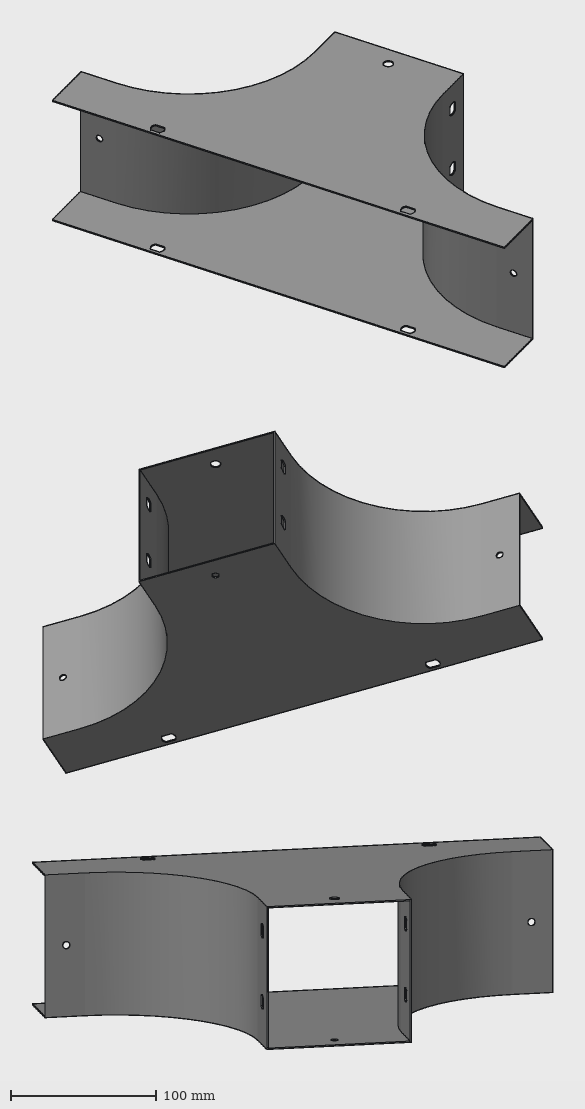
import cadquery as cq

length = 358.0
depth = 168.0
height = 101.0
sheet = 1.0

neck_width = 102.0
end_straight = 28.3
bend_radius = (length - neck_width) / 2 - end_straight
half_length = length / 2
half_neck = neck_width / 2
back = depth / 2
arm_back = back - end_straight - bend_radius

hole_diameter = 5.0
clearance_diameter = 7.0
end_distance = 15.0
slot_length = 10.0
slot_width = 7.0
front_slot_spacing = 198.5
front_slot_distance = 6.0
neck_slot_spacing = 50.0
neck_slot_rise = 5.0


def side_edge(plane, side):
    """Path along one side wall, from the arm end to the neck end."""
    bend_start = (side * (half_neck + bend_radius), arm_back)
    bend_end = (side * half_neck, back - end_straight)
    return (
        plane.moveTo(side * half_length, arm_back)
        .lineTo(*bend_start)
        .radiusArc(bend_end, side * bend_radius)
        .lineTo(side * half_neck, back)
    )


def side_region(side):
    """Block filling the corner outside one side wall, up to the bounding box."""
    edge = side_edge(cq.Workplane("XY").workplane(offset=-height / 2), side)
    return edge.lineTo(side * half_length, back).close().extrude(height)


def side_wall(side):
    """Sheet of constant thickness on the inner face of one side edge."""
    inner_neck = half_neck - sheet
    inner_arm = arm_back - sheet
    inner_radius = bend_radius + sheet
    edge = side_edge(cq.Workplane("XY").workplane(offset=-height / 2), side)
    return (
        edge.lineTo(side * inner_neck, back)
        .lineTo(side * inner_neck, back - end_straight)
        .radiusArc((side * (half_neck + bend_radius), inner_arm), -side * inner_radius)
        .lineTo(side * half_length, inner_arm)
        .close()
        .extrude(height)
    )


def flat_sided_slots(plane, centres, size_u, size_v, reach):
    """Cutters shaped as a circle of the slot length with two parallel flats."""
    base = cq.Workplane(plane).pushPoints(centres)
    rounds = base.circle(slot_length / 2).extrude(reach, both=True)
    flats = base.rect(size_u, size_v).extrude(reach, both=True)
    return rounds.intersect(flats)


plates = cq.Workplane("XY").box(length, depth, height).cut(
    cq.Workplane("XY").box(length, depth, height - 2 * sheet)
)
for side in (-1, 1):
    plates = plates.cut(side_region(side))

body = plates
for side in (-1, 1):
    body = body.union(side_wall(side))

front_slots = flat_sided_slots(
    "XY",
    [(side * front_slot_spacing / 2, front_slot_distance - back) for side in (-1, 1)],
    slot_length,
    slot_width,
    height,
)

neck_slots = flat_sided_slots(
    "YZ",
    [(back - end_distance, neck_slot_rise + side * neck_slot_spacing / 2) for side in (-1, 1)],
    slot_width,
    slot_length,
    neck_width,
)

arm_holes = (
    cq.Workplane("XZ")
    .pushPoints([(side * (half_length - end_distance), 0) for side in (-1, 1)])
    .circle(hole_diameter / 2)
    .extrude(depth, both=True)
)

neck_hole = cq.Workplane("XY").center(0, back - end_distance)
top_neck_hole = neck_hole.circle(clearance_diameter / 2).extrude(height)
bottom_neck_hole = neck_hole.circle(hole_diameter / 2).extrude(-height)

result = body
for opening in (front_slots, neck_slots, arm_holes, top_neck_hole, bottom_neck_hole):
    result = result.cut(opening)